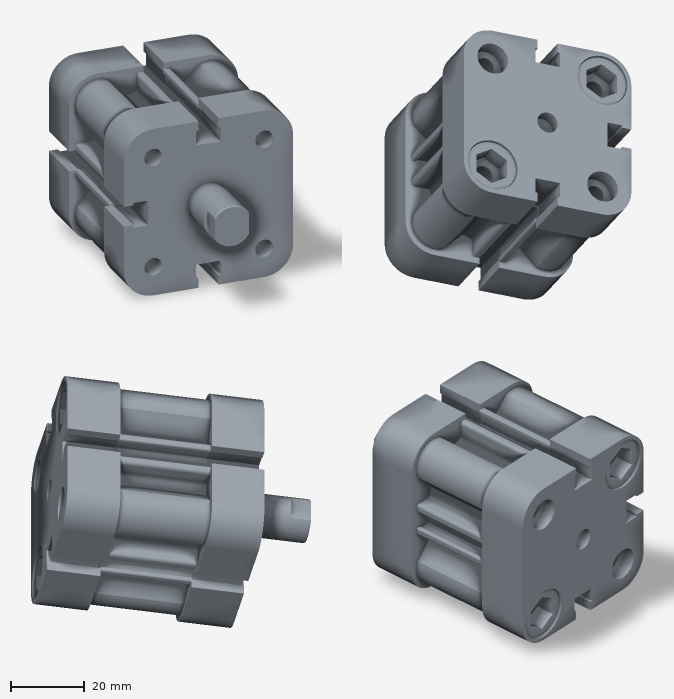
import cadquery as cq
import math


overall_length = 71.5
rear_cap_length = 14.7
barrel_length = 25.3
front_cap_length = 14.5
barrel_start = rear_cap_length
front_cap_start = barrel_start + barrel_length
front_face = front_cap_start + front_cap_length

cap_size = 49.5
hole_pitch = 32.45
hole_offset = hole_pitch / 2
cap_corner_radius = cap_size / 2 - hole_offset

cap_slot_opening = 5.85
cap_slot_width = 7.3
cap_slot_floor = 17.7
cap_slot_lip_base = 22.0

barrel_size = 46.05
tube_radius = barrel_size / 2 - hole_offset
flank_floor_offset = 7.95
flank_floor_height = 16.7
flank_floor_radius = 0.9
floor_tilt = 20.0

rib_width = 10.0
rib_height = 22.95
rib_root_radius = 1.1
rib_edge_radius = 0.9
slot_opening = 5.35
slot_width = 6.65
slot_floor = 18.2
slot_lip_base = 21.75
slot_edge_radius = 0.465
slot_corner_radius = 0.35

through_diameter = 5.15
counterbore_diameter = 9.0
counterbore_depth = 5.15
centre_hole_diameter = 6.0
centre_hole_depth = 4.0
screw_seat_diameter = 14.7
screw_diameter = 14.3
screw_seat_depth = 8.6
screw_recess = 0.65
screw_length = screw_seat_depth - screw_recess
hex_across_flats = 9.0
hex_depth = 5.6
screw_centres = [(-hole_offset, hole_offset), (hole_offset, -hole_offset)]
plain_hole_centres = [(hole_offset, hole_offset), (-hole_offset, -hole_offset)]

rod_diameter = 12.0
rod_across_flats = 10.0
rod_flat_start = 66.3
rod_flat_lead = 0.4
rod_end_chamfer_length = 0.4
rod_end_chamfer_depth = 0.2


def section_plane(x):
    """Work plane across the axis: local x is Y, local y is Z, extrusions run along +X."""
    return cq.Workplane("YZ", origin=(x, 0, 0))


def rounded_outline(plane, corners):
    """Close an outline through corners given as (y, z, rounding radius)."""
    trimmed = []
    for i, (y, z, radius) in enumerate(corners):
        corner = cq.Vector(y, z)
        before = (cq.Vector(*corners[i - 1][:2]) - corner).normalized()
        after = (cq.Vector(*corners[(i + 1) % len(corners)][:2]) - corner).normalized()
        half_angle = before.getAngle(after) / 2
        setback = radius / math.tan(half_angle)
        bisector = (before + after).normalized()
        middle = corner + bisector * (radius / math.sin(half_angle) - radius)
        trimmed.append((radius, corner + before * setback, middle, corner + after * setback))

    outline = plane.moveTo(*trimmed[0][3].toTuple()[:2])
    for radius, start, middle, end in trimmed[1:] + trimmed[:1]:
        outline = outline.lineTo(start.x, start.y)
        if radius > 0:
            outline = outline.threePointArc((middle.x, middle.y), (end.x, end.y))
    return outline.close()


def barrel_core_corners():
    """Corners of the barrel core: one half side, mirrored and repeated around the axis."""
    rib_root_height = flank_floor_height + (flank_floor_offset - rib_width / 2) * math.tan(
        math.radians(floor_tilt)
    )
    flank_end_shift = (flank_floor_height - flank_floor_offset) / 2
    half_side = [
        (slot_width / 2, slot_floor, slot_corner_radius),
        (slot_width / 2, slot_lip_base, 0),
        (slot_opening / 2, slot_lip_base, 0),
        (slot_opening / 2, rib_height, slot_edge_radius),
        (rib_width / 2, rib_height, rib_edge_radius),
        (rib_width / 2, rib_root_height, rib_root_radius),
        (flank_floor_offset, flank_floor_height, flank_floor_radius),
        (hole_offset - flank_end_shift, hole_offset + flank_end_shift, 0),
    ]
    mirrored_half = [(-y, z, radius) for y, z, radius in reversed(half_side)]
    side = mirrored_half + half_side

    corners = []
    for _ in range(4):
        corners += side
        side = [(z, -y, radius) for y, z, radius in side]
    return corners


def make_cap(start, length):
    """Rounded square end cap with sensor slots on the top, bottom and -Y sides."""
    cap = section_plane(start).rect(cap_size, cap_size).extrude(length)
    cap = cap.edges("|X").fillet(cap_corner_radius)

    chamber_height = cap_slot_lip_base - cap_slot_floor
    opening_height = cap_size / 2 - cap_slot_floor
    slot = (
        section_plane(start)
        .center(0, cap_slot_floor + chamber_height / 2)
        .rect(cap_slot_width, chamber_height)
        .extrude(length)
    )
    opening = (
        section_plane(start)
        .center(0, cap_slot_floor + opening_height / 2)
        .rect(cap_slot_opening, opening_height)
        .extrude(length)
    )
    slot = slot.union(opening)
    for angle in (0, 90, 180):
        cap = cap.cut(slot.rotate((0, 0, 0), (1, 0, 0), angle))
    return cap


def make_holes():
    """Everything cut from the housing along X: through holes, counterbores and screw seats."""
    holes = (
        section_plane(0)
        .pushPoints(screw_centres + plain_hole_centres)
        .circle(through_diameter / 2)
        .extrude(front_face)
    )
    counterbores = (
        section_plane(0)
        .pushPoints(plain_hole_centres)
        .circle(counterbore_diameter / 2)
        .extrude(counterbore_depth)
    )
    screw_seats = (
        section_plane(0)
        .pushPoints(screw_centres)
        .circle(screw_seat_diameter / 2)
        .extrude(screw_seat_depth)
    )
    centre_hole = section_plane(0).circle(centre_hole_diameter / 2).extrude(centre_hole_depth)
    return holes.union(counterbores).union(screw_seats).union(centre_hole)


def make_tube(y, z):
    """Round corner tube with two flats that continue the flanks of the core."""
    width_across_flats = (flank_floor_height - flank_floor_offset) * math.sqrt(2)
    diagonal_angle = math.degrees(math.atan2(z, y))
    flats = (
        section_plane(barrel_start)
        .rect(2 * tube_radius, width_across_flats)
        .extrude(barrel_length)
        .rotate((0, 0, 0), (1, 0, 0), diagonal_angle)
    )
    tube = section_plane(barrel_start).circle(tube_radius).extrude(barrel_length)
    return tube.intersect(flats).translate((0, y, z))


def make_barrel():
    """Profiled core with a tube along each corner."""
    core_outline = rounded_outline(section_plane(barrel_start), barrel_core_corners())
    barrel = core_outline.extrude(barrel_length)
    for y, z in screw_centres + plain_hole_centres:
        barrel = barrel.union(make_tube(y, z))
    return barrel


def make_housing():
    """Both end caps and the barrel between them, as one body."""
    barrel = make_barrel()
    rear_cap = make_cap(0, rear_cap_length)
    front_cap = make_cap(front_cap_start, front_cap_length)
    return barrel.union(rear_cap).union(front_cap).cut(make_holes())


def make_screw(centre):
    """Hollow screw with a hexagon socket, slightly recessed in the rear face."""
    screw = section_plane(0).circle(screw_diameter / 2).extrude(screw_length)
    across_corners = hex_across_flats / math.cos(math.radians(30))
    socket = section_plane(0).polygon(6, across_corners).extrude(hex_depth)
    socket = socket.rotate((0, 0, 0), (1, 0, 0), 90)
    bore = section_plane(0).circle(through_diameter / 2).extrude(screw_length)
    return screw.cut(socket).cut(bore).translate((screw_recess, *centre))


def make_rod():
    """Piston rod with a tapered end and two wrench flats facing -Y and +Y."""
    radius = rod_diameter / 2
    rod = (
        cq.Workplane("XY")
        .moveTo(front_face, 0)
        .lineTo(front_face, radius)
        .lineTo(overall_length - rod_end_chamfer_length, radius)
        .lineTo(overall_length, radius - rod_end_chamfer_depth)
        .lineTo(overall_length, 0)
        .close()
        .revolve(360, (0, 0, 0), (1, 0, 0))
    )
    flat_cut = (
        cq.Workplane("XY")
        .moveTo(rod_flat_start, rod_across_flats / 2)
        .lineTo(overall_length, rod_across_flats / 2)
        .lineTo(overall_length, radius)
        .lineTo(rod_flat_start - rod_flat_lead, radius)
        .close()
        .extrude(radius, both=True)
    )
    return rod.cut(flat_cut).cut(flat_cut.mirror("XZ"))


housing = make_housing()
rod = make_rod()
screws = [make_screw(centre) for centre in screw_centres]

result = cq.Compound.makeCompound([housing.val(), rod.val(), *[screw.val() for screw in screws]])